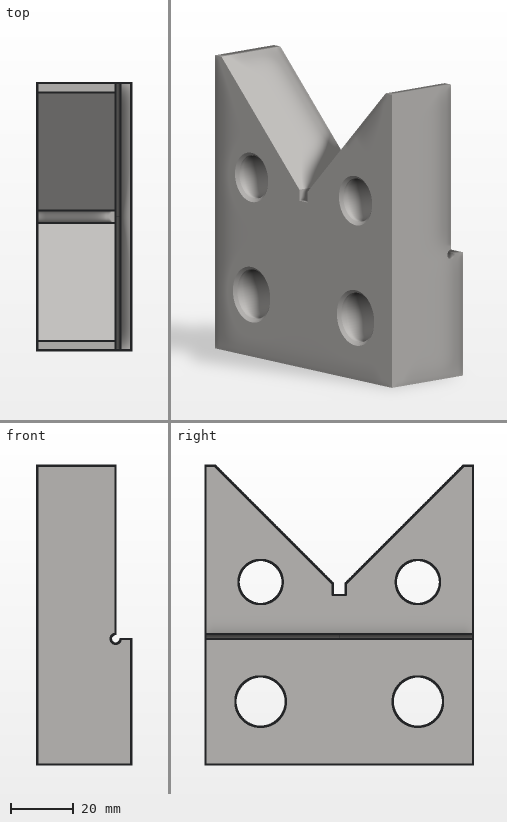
import cadquery as cq

thickness = 30.0
width = 85.0
height = 95.0

upper_thickness = 25.0
ledge_height = 40.0
relief_radius = 1.5

top_land = 3.0
slot_width = 4.0
slot_depth = 41.0

hole_spacing = 50.0
upper_hole_height = 58.0
upper_hole_diameter = 14.0
upper_mouth_diameter = 16.0
lower_hole_height = 20.0
lower_hole_diameter = 16.0
lower_mouth_diameter = 18.0


def stepped_block():
    """L-shaped section in XZ, extruded across the width and centred on Y = 0."""
    section = [
        (0, 0),
        (thickness, 0),
        (thickness, ledge_height),
        (upper_thickness, ledge_height),
        (upper_thickness, height),
        (0, height),
    ]
    block = cq.Workplane("XZ").polyline(section).close().extrude(width / 2, both=True)
    relief = (
        cq.Workplane("XZ")
        .center(upper_thickness, ledge_height)
        .circle(relief_radius)
        .extrude(width / 2, both=True)
    )
    return block.cut(relief)


def v_notch():
    """V notch and root slot, running through the block along X."""
    half_opening = width / 2 - top_land
    half_slot = slot_width / 2
    v_root = height - (half_opening - half_slot)
    slot_floor = height - slot_depth
    outline = [
        (-half_opening, height),
        (-half_slot, v_root),
        (-half_slot, slot_floor),
        (half_slot, slot_floor),
        (half_slot, v_root),
        (half_opening, height),
    ]
    return cq.Workplane("YZ").polyline(outline).close().extrude(thickness)


def chamfered_hole(y, z, diameter, mouth_diameter):
    """Through hole along X that flares to the mouth diameter at X = 0."""
    radius = diameter / 2
    mouth_radius = mouth_diameter / 2
    chamfer = mouth_radius - radius
    half_section = [
        (0, 0),
        (0, mouth_radius),
        (chamfer, radius),
        (thickness, radius),
        (thickness, 0),
    ]
    hole = cq.Workplane("XY").polyline(half_section).close().revolve(360, (0, 0), (1, 0))
    return hole.translate((0, y, z))


result = stepped_block().cut(v_notch())

for side in (-1, 1):
    hole_y = side * hole_spacing / 2
    result = result.cut(
        chamfered_hole(hole_y, upper_hole_height, upper_hole_diameter, upper_mouth_diameter)
    )
    result = result.cut(
        chamfered_hole(hole_y, lower_hole_height, lower_hole_diameter, lower_mouth_diameter)
    )